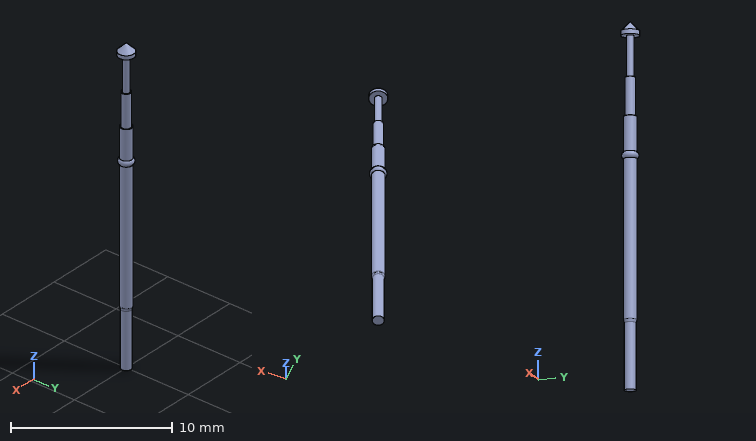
import cadquery as cq

total_height = 23.55

head_diameter = 1.2
head_cone_height = head_diameter / 2
head_rim_height = 0.3
stem_diameter = 0.48

barrel_diameter = 0.68
barrel_bore_diameter = 0.5
barrel_top = 20.0
barrel_floor_thickness = 1.0

receptacle_diameter = 0.86
receptacle_bore_diameter = 0.7
receptacle_top = 17.5
tail_diameter = 0.75
tail_length = 4.3
shoulder_height = 0.2
receptacle_floor = tail_length + shoulder_height

ring_diameter = 1.1
ring_middle = 15.0
ring_height = 0.44

barrel_floor = receptacle_floor + barrel_floor_thickness


def cylinder(diameter, bottom, top):
    """Solid cylinder on the Z axis between two heights."""
    return cq.Workplane("XY").workplane(offset=bottom).circle(diameter / 2).extrude(top - bottom)


def make_plunger():
    """Stem resting on the barrel floor, with a rimmed conical head."""
    stem_radius = stem_diameter / 2
    head_radius = head_diameter / 2
    rim_top = total_height - head_cone_height
    rim_bottom = rim_top - head_rim_height
    return (
        cq.Workplane("XZ")
        .moveTo(0, barrel_floor)
        .lineTo(stem_radius, barrel_floor)
        .lineTo(stem_radius, rim_bottom)
        .lineTo(head_radius, rim_bottom)
        .lineTo(head_radius, rim_top)
        .lineTo(0, total_height)
        .close()
        .revolve(360, (0, 0), (0, 1))
    )


def make_barrel():
    """Tube with a closed lower end that rests on the receptacle floor."""
    body = cylinder(barrel_diameter, receptacle_floor, barrel_top)
    return body.cut(cylinder(barrel_bore_diameter, barrel_floor, barrel_top))


def make_receptacle():
    """Socket with a rounded press ring and a tapered shoulder down to a solid tail."""
    tail_radius = tail_diameter / 2
    outer_radius = receptacle_diameter / 2
    ring_radius = ring_diameter / 2
    ring_bottom = ring_middle - ring_height / 2
    ring_top = ring_middle + ring_height / 2
    body = (
        cq.Workplane("XZ")
        .lineTo(tail_radius, 0)
        .lineTo(tail_radius, tail_length)
        .lineTo(outer_radius, receptacle_floor)
        .lineTo(outer_radius, ring_bottom)
        .threePointArc((ring_radius, ring_middle), (outer_radius, ring_top))
        .lineTo(outer_radius, receptacle_top)
        .lineTo(0, receptacle_top)
        .close()
        .revolve(360, (0, 0), (0, 1))
    )
    return body.cut(cylinder(receptacle_bore_diameter, receptacle_floor, receptacle_top))


plunger = make_plunger()
barrel = make_barrel()
receptacle = make_receptacle()

result = cq.Compound.makeCompound([plunger.val(), barrel.val(), receptacle.val()])